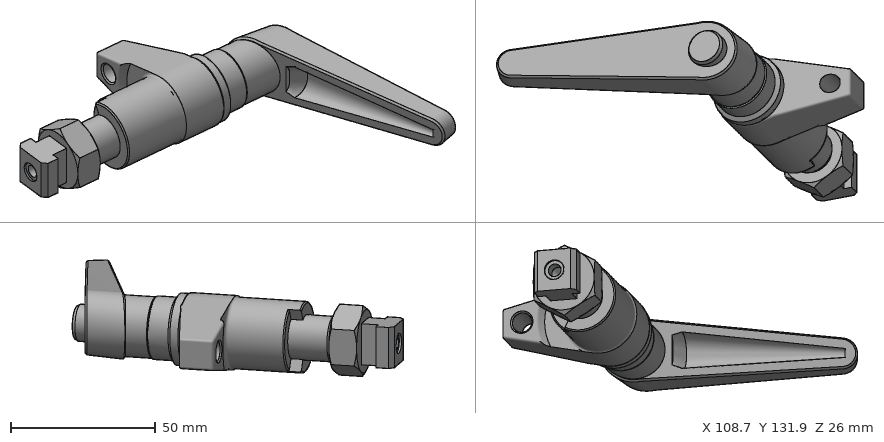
import cadquery as cq
import math


HEAD_WIDTH = 15.2
HEAD_DEPTH = 14.7
HEAD_HEIGHT = 6.2
HEAD_CHAMFER = 1.7
NECK_WIDTH = 9.5
CENTRE_HOLE_DIAMETER = 4.5
CENTRE_HOLE_MOUTH = 7.0
CENTRE_HOLE_MOUTH_DEPTH = 0.8
CENTRE_HOLE_DEPTH = 5.0

NUT_BOTTOM = 12.2
NUT_HEIGHT = 10.0
NUT_TOP = NUT_BOTTOM + NUT_HEIGHT
NUT_ACROSS_FLATS = 22.0
NUT_CORNER_RADIUS = NUT_ACROSS_FLATS / 2 / math.cos(math.pi / 6)
NUT_CHAMFER_HEIGHT = 0.9

ROD_RADIUS = 7.95
ROD_UNDERCUT_RADIUS = 7.2
ROD_UNDERCUT_TOP = 23.0
ROD_CHAMFER = ROD_RADIUS - ROD_UNDERCUT_RADIUS

SLEEVE_BOTTOM = 33.5
SLEEVE_RADIUS = 12.5
SLEEVE_CHAMFER = 0.5
NOTCH_TOP = 37.8
NOTCH_HALF_ANGLE = math.radians(62.0)

CLAMP_BOTTOM = 59.1
CLAMP_TOP = 76.0
CLAMP_RADIUS = 13.0
CLAMP_FILLET = 0.9
ROOT_FILLET = 1.0
ARM_REACH = 35.0
ARM_TIP_HALF_WIDTH = 5.25
ARM_TIP_TOP = 69.4
ARM_SLOPE_START = -9.0
PAD_BOTTOM = 57.1
PAD_INNER_RADIUS = 20.3
PAD_RAMP = CLAMP_BOTTOM - PAD_BOTTOM
EYE_POSITION = -28.0
EYE_DIAMETER = 7.0
EYE_CHAMFER = 0.55

COLLAR_RADIUS = 12.65
COLLAR_CONE_BOTTOM = 78.9
COLLAR_TOP = 80.0
RING_RADIUS = 11.1
RING_TOP = 87.3
GAP_RADIUS = 10.3
GAP_HEIGHT = 0.5

HUB_RADIUS = 10.75
HUB_BOTTOM = RING_TOP + GAP_HEIGHT
SCREW_BOTTOM = 105.0
SCREW_RADIUS = 6.5
SCREW_TOP = 115.9
SCREW_CHAMFER_WIDTH = 0.7
SCREW_CHAMFER_HEIGHT = 1.2

UPPER_SLOPE = math.radians(15.0)
UPPER_HEIGHT = 112.85
LOWER_SLOPE = math.radians(19.3)
LOWER_HEIGHT = 98.65
UPPER_BACK, UPPER_SHOULDER, UPPER_TIP_START, UPPER_TIP = -9.9, 3.6, 67.4, 71.7
LOWER_BACK, LOWER_SHOULDER, LOWER_TIP_START, LOWER_TIP = -10.8, 2.7, 69.4, 73.95
UPPER_HALF_WIDTH = 11.0
LOWER_HALF_WIDTH = 11.4
UPPER_TIP_HALF_WIDTH = 5.4
LOWER_TIP_HALF_WIDTH = 5.6
LEVER_CHAMFER = 0.7

GROOVE_START = 13.0
GROOVE_DEEPEST = 16.3
GROOVE_END = 69.8
GROOVE_START_HALF_WIDTH = 5.4
GROOVE_HALF_WIDTH = 6.6
GROOVE_END_HALF_WIDTH = 1.6
GROOVE_START_DEPTH = 1.5
GROOVE_DEPTH = 5.7
GROOVE_END_DEPTH = 1.4
GROOVE_FLOOR_RATIO = 0.14


def turned(profile):
    """Solid of revolution about Y from (radius, y) points; the axis closes the outline."""
    outline = [(0, profile[0][1])] + profile
    last_radius, last_height = profile[-1]
    if last_radius > 0:
        outline.append((0, last_height))
    return cq.Workplane("XY").polyline(outline).close().revolve(360, (0, 0, 0), (0, 1, 0))


def cylinder(radius, bottom, top):
    return turned([(radius, bottom), (radius, top)])


def block(x_min, x_max, bottom, top, depth):
    """Box centred on Z = 0."""
    centre = ((x_min + x_max) / 2, (bottom + top) / 2, 0)
    return cq.Workplane("XY").box(x_max - x_min, top - bottom, depth).translate(centre)


def t_head():
    head = block(-HEAD_WIDTH / 2, HEAD_WIDTH / 2, 0, HEAD_HEIGHT, HEAD_DEPTH)
    head = head.faces("<Y").edges("|Z").chamfer(HEAD_CHAMFER)
    neck = block(-NECK_WIDTH / 2, NECK_WIDTH / 2, 0, NUT_BOTTOM, HEAD_DEPTH)
    mouth = CENTRE_HOLE_MOUTH / 2
    hole = CENTRE_HOLE_DIAMETER / 2
    centre_hole = turned([
        (mouth, 0),
        (mouth, CENTRE_HOLE_MOUTH_DEPTH),
        (hole, CENTRE_HOLE_MOUTH_DEPTH),
        (hole, CENTRE_HOLE_DEPTH),
        (0, CENTRE_HOLE_DEPTH + hole),
    ])
    return head.union(neck).cut(centre_hole)


def nut():
    corners = [
        (
            NUT_CORNER_RADIUS * math.sin(i * math.pi / 3),
            NUT_CORNER_RADIUS * math.cos(i * math.pi / 3),
        )
        for i in range(6)
    ]
    hexagon = cq.Workplane("XZ", origin=(0, NUT_TOP, 0)).polyline(corners).close().extrude(NUT_HEIGHT)
    rounding = turned([
        (NUT_ACROSS_FLATS / 2, NUT_BOTTOM),
        (NUT_CORNER_RADIUS, NUT_BOTTOM + NUT_CHAMFER_HEIGHT),
        (NUT_CORNER_RADIUS, NUT_TOP - NUT_CHAMFER_HEIGHT),
        (NUT_ACROSS_FLATS / 2, NUT_TOP),
    ])
    return hexagon.intersect(rounding)


def rod():
    return turned([
        (ROD_UNDERCUT_RADIUS, NUT_TOP),
        (ROD_UNDERCUT_RADIUS, ROD_UNDERCUT_TOP),
        (ROD_RADIUS, ROD_UNDERCUT_TOP + ROD_CHAMFER),
        (ROD_RADIUS, CLAMP_BOTTOM),
    ])


def sleeve():
    body = cylinder(SLEEVE_RADIUS, SLEEVE_BOTTOM, CLAMP_BOTTOM)
    notch_half_width = SLEEVE_RADIUS * math.tan(NOTCH_HALF_ANGLE)
    notch = (
        cq.Workplane("XZ", origin=(0, NOTCH_TOP, 0))
        .polyline([(0, 0), (-SLEEVE_RADIUS, notch_half_width), (-SLEEVE_RADIUS, -notch_half_width)])
        .close()
        .extrude(NOTCH_TOP - SLEEVE_BOTTOM)
    )
    return body.cut(notch).faces("-Y").edges("%CIRCLE").chamfer(SLEEVE_CHAMFER)


def clamp_plan(bottom, top):
    """Round clamp body with a tapered arm whose sides are tangent to it."""
    corner_distance = math.hypot(ARM_REACH, ARM_TIP_HALF_WIDTH)
    corner_angle = math.atan2(ARM_TIP_HALF_WIDTH, ARM_REACH)
    tangent_angle = corner_angle + math.acos(CLAMP_RADIUS / corner_distance)
    tangent_x = -CLAMP_RADIUS * math.cos(tangent_angle)
    tangent_z = CLAMP_RADIUS * math.sin(tangent_angle)
    return (
        cq.Workplane("XZ", origin=(0, top, 0))
        .moveTo(-ARM_REACH, -ARM_TIP_HALF_WIDTH)
        .lineTo(-ARM_REACH, ARM_TIP_HALF_WIDTH)
        .lineTo(tangent_x, tangent_z)
        .threePointArc((CLAMP_RADIUS, 0), (tangent_x, -tangent_z))
        .close()
        .extrude(top - bottom)
    )


def clamp():
    side = (
        cq.Workplane("XY")
        .polyline([
            (-ARM_REACH, PAD_BOTTOM),
            (-ARM_REACH, ARM_TIP_TOP),
            (ARM_SLOPE_START, CLAMP_TOP),
            (CLAMP_RADIUS, CLAMP_TOP),
            (CLAMP_RADIUS, PAD_BOTTOM),
        ])
        .close()
        .extrude(CLAMP_RADIUS, both=True)
    )
    pad_relief = turned([
        (PAD_INNER_RADIUS + PAD_RAMP, PAD_BOTTOM),
        (PAD_INNER_RADIUS, CLAMP_BOTTOM),
    ])
    body = clamp_plan(PAD_BOTTOM, CLAMP_TOP).intersect(side).cut(pad_relief)
    slope_normal = (ARM_TIP_TOP - CLAMP_TOP, ARM_SLOPE_START + ARM_REACH, 0)
    slope = cq.selectors.ParallelDirSelector(cq.Vector(slope_normal))
    pad_edges = body.faces("<Y").edges()
    rim = body.faces(">Y").edges("not |Z").add(body.faces(slope).edges())
    body = rim.add(body.faces("<X").edges()).add(pad_edges).fillet(CLAMP_FILLET)

    eye = cylinder(EYE_DIAMETER / 2, PAD_BOTTOM, CLAMP_TOP)
    eye_mouth = turned([
        (EYE_DIAMETER / 2 + EYE_CHAMFER, PAD_BOTTOM),
        (EYE_DIAMETER / 2, PAD_BOTTOM + EYE_CHAMFER),
    ])
    return body.cut(eye.union(eye_mouth).translate((EYE_POSITION, 0, 0)))


def clamp_root():
    """Concave fillet between the sleeve and the underside of the clamp."""
    root_bottom = CLAMP_BOTTOM - ROOT_FILLET
    bend = ROOT_FILLET * math.sqrt(0.5)
    flare = (
        cq.Workplane("XY")
        .moveTo(0, root_bottom)
        .lineTo(SLEEVE_RADIUS, root_bottom)
        .threePointArc(
            (SLEEVE_RADIUS + ROOT_FILLET - bend, root_bottom + bend),
            (SLEEVE_RADIUS + ROOT_FILLET, CLAMP_BOTTOM),
        )
        .lineTo(0, CLAMP_BOTTOM)
        .close()
        .revolve(360, (0, 0, 0), (0, 1, 0))
    )
    return flare.intersect(clamp_plan(root_bottom, CLAMP_BOTTOM))


def collar_and_hub():
    """Collar, ring and hub; the hub ends inside the lever, just above its lower face."""
    body = turned([
        (COLLAR_RADIUS, CLAMP_TOP),
        (COLLAR_RADIUS, COLLAR_CONE_BOTTOM),
        (RING_RADIUS, COLLAR_TOP),
        (RING_RADIUS, RING_TOP),
        (GAP_RADIUS, RING_TOP),
        (GAP_RADIUS, HUB_BOTTOM),
        (HUB_RADIUS, HUB_BOTTOM),
        (HUB_RADIUS, UPPER_HEIGHT),
    ])
    cover = 4 * HUB_RADIUS
    above_hub = (
        cq.Workplane(slanted_plane(LOWER_HEIGHT + LEVER_CHAMFER, LOWER_SLOPE))
        .rect(cover, cover)
        .extrude(cover)
    )
    return body.cut(above_hub)


def screw_head():
    return turned([
        (SCREW_RADIUS, SCREW_BOTTOM),
        (SCREW_RADIUS, SCREW_TOP - SCREW_CHAMFER_HEIGHT),
        (SCREW_RADIUS - SCREW_CHAMFER_WIDTH, SCREW_TOP),
    ])


def slanted_plane(height, slope):
    """Plane rising along +X; its local X runs up the slope and its local Y is -Z."""
    normal = (-math.sin(slope), math.cos(slope), 0)
    return cq.Plane(origin=(0, height, 0), xDir=(math.cos(slope), math.sin(slope), 0), normal=normal)


def lever_outline(height, slope, back, shoulder, tip_start, tip, half_width, tip_half_width):
    """Tapered outline with a round back and a round tip on a slanted plane."""
    stretch = 1 / math.cos(slope)
    return (
        cq.Workplane(slanted_plane(height, slope))
        .moveTo(shoulder * stretch, -half_width)
        .lineTo(tip_start * stretch, -tip_half_width)
        .threePointArc((tip * stretch, 0), (tip_start * stretch, tip_half_width))
        .lineTo(shoulder * stretch, half_width)
        .threePointArc((back * stretch, 0), (shoulder * stretch, -half_width))
        .close()
        .val()
    )


def lever_groove():
    """Round-sided groove with a narrow floor that gets narrower and shallower towards the tip of the lever."""
    plane = slanted_plane(LOWER_HEIGHT, LOWER_SLOPE)
    sections = []
    for place, half_width, depth in (
        (GROOVE_START, GROOVE_START_HALF_WIDTH, GROOVE_START_DEPTH),
        (GROOVE_DEEPEST, GROOVE_HALF_WIDTH, GROOVE_DEPTH),
        (GROOVE_END, GROOVE_END_HALF_WIDTH, GROOVE_END_DEPTH),
    ):
        floor = half_width * GROOVE_FLOOR_RATIO
        bend_width = floor + (half_width - floor) * math.sqrt(0.5)
        bend_depth = depth * math.sqrt(0.5)
        section_plane = cq.Plane(
            origin=plane.toWorldCoords((place / math.cos(LOWER_SLOPE), 0, 0)),
            xDir=plane.yDir,
            normal=(1, 0, 0),
        )
        section = (
            cq.Workplane(section_plane)
            .moveTo(-half_width, 0)
            .threePointArc((-bend_width, bend_depth), (-floor, depth))
            .lineTo(floor, depth)
            .threePointArc((bend_width, bend_depth), (half_width, 0))
            .close()
        )
        sections.append(section.val())
    return cq.Workplane(cq.Solid.makeLoft(sections, True))


def lever():
    lower = lever_outline(
        LOWER_HEIGHT, LOWER_SLOPE, LOWER_BACK, LOWER_SHOULDER, LOWER_TIP_START, LOWER_TIP,
        LOWER_HALF_WIDTH, LOWER_TIP_HALF_WIDTH,
    )
    upper = lever_outline(
        UPPER_HEIGHT, UPPER_SLOPE, UPPER_BACK, UPPER_SHOULDER, UPPER_TIP_START, UPPER_TIP,
        UPPER_HALF_WIDTH, UPPER_TIP_HALF_WIDTH,
    )
    lower_rim = lower.offset2D(-LEVER_CHAMFER)[0]
    upper_rim = upper.offset2D(-LEVER_CHAMFER)[0]
    lower = lower.translate(slanted_plane(0, LOWER_SLOPE).zDir * LEVER_CHAMFER)
    upper = upper.translate(slanted_plane(0, UPPER_SLOPE).zDir * -LEVER_CHAMFER)
    body = cq.Workplane(cq.Solid.makeLoft([lower, upper], True))
    for rim, outline in ((lower_rim, lower), (upper_rim, upper)):
        body = body.union(cq.Workplane(cq.Solid.makeLoft([rim, outline], True)))
    return body.cut(lever_groove())


result = t_head()
for piece in (nut(), sleeve(), rod(), clamp(), clamp_root(), collar_and_hub(), screw_head(), lever()):
    result = result.union(piece)